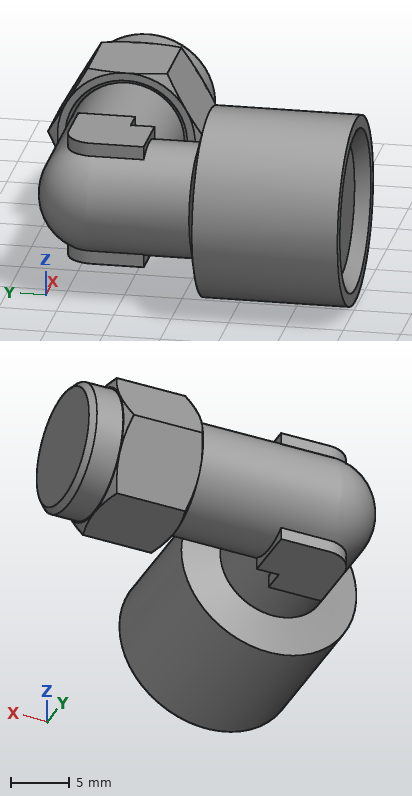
import cadquery as cq
import math

pipe_radius = 5.0

socket_radius = 8.25
socket_end = 22.5
shoulder_start = 8.95
shoulder_end = 9.85
mouth_radius = 7.13
recess_floor_radius = 5.95
recess_depth = mouth_radius - recess_floor_radius

nut_start = 13.5
nut_end = 21.03
nut_flats = 12.0
nut_corner_radius = nut_flats / math.sqrt(3)
nut_chamfer_angle = math.radians(30)
nut_chamfer_length = (nut_corner_radius - nut_flats / 2) * math.tan(nut_chamfer_angle)
countersink_radius = 5.32
countersink_depth = countersink_radius - pipe_radius
collar_radius = 5.87
collar_chamfer = 0.5
arm_end = 24.0

pad_half_width = 2.48
pad_reach = 4.55
pad_height = 5.5


def make_elbow():
    """Round elbow with a spherical outer corner."""
    tube_arm = cq.Workplane("YZ").circle(pipe_radius).extrude(nut_end)
    socket_arm = cq.Workplane("XZ").circle(pipe_radius).extrude(shoulder_end)
    return tube_arm.union(socket_arm).union(cq.Workplane("XY").sphere(pipe_radius))


def make_socket():
    """Socket with a conical shoulder and a tapered recess, turned about Y."""
    return (
        cq.Workplane("XY")
        .moveTo(0, -shoulder_start)
        .lineTo(pipe_radius, -shoulder_start)
        .lineTo(socket_radius, -shoulder_end)
        .lineTo(socket_radius, -socket_end)
        .lineTo(mouth_radius, -socket_end)
        .lineTo(recess_floor_radius, recess_depth - socket_end)
        .lineTo(0, recess_depth - socket_end)
        .close()
        .revolve(360, (0, 0, 0), (0, 1, 0))
    )


def make_nut():
    """Hexagonal nut with corners on +Y and -Y, chamfered at both ends.

    A countersink leaves a narrow groove where the tube enters the nut.
    """
    hexagon = (
        cq.Workplane("YZ", origin=(nut_start, 0, 0))
        .polygon(6, 2 * nut_corner_radius)
        .extrude(nut_end - nut_start)
    )
    chamfer_envelope = (
        cq.Workplane("XY")
        .moveTo(nut_start, 0)
        .lineTo(nut_start, nut_flats / 2)
        .lineTo(nut_start + nut_chamfer_length, nut_corner_radius)
        .lineTo(nut_end - nut_chamfer_length, nut_corner_radius)
        .lineTo(nut_end, nut_flats / 2)
        .lineTo(nut_end, 0)
        .close()
        .revolve(360, (0, 0, 0), (1, 0, 0))
    )
    countersink = (
        cq.Workplane("XY")
        .moveTo(nut_start, 0)
        .lineTo(nut_start, countersink_radius)
        .lineTo(nut_start + countersink_depth, pipe_radius)
        .lineTo(nut_start + countersink_depth, 0)
        .close()
        .revolve(360, (0, 0, 0), (1, 0, 0))
    )
    return hexagon.intersect(chamfer_envelope).cut(countersink)


def make_collar():
    """Round collar beyond the nut with a chamfered end."""
    return (
        cq.Workplane("YZ", origin=(nut_end, 0, 0))
        .circle(collar_radius)
        .extrude(arm_end - nut_end)
        .faces(">X")
        .chamfer(collar_chamfer)
    )


def make_pads():
    """L-shaped block through the elbow; its ends stand proud as two pads."""
    return (
        cq.Workplane("XY")
        .moveTo(0, pad_half_width)
        .lineTo(pad_reach, pad_half_width)
        .lineTo(pad_reach, -pad_half_width)
        .lineTo(pad_half_width, -pad_half_width)
        .lineTo(pad_half_width, -pad_reach)
        .lineTo(-pad_half_width, -pad_reach)
        .lineTo(-pad_half_width, 0)
        .radiusArc((0, pad_half_width), pad_half_width)
        .close()
        .extrude(pad_height, both=True)
    )


result = make_elbow().union(make_socket()).union(make_nut()).union(make_collar()).union(make_pads())